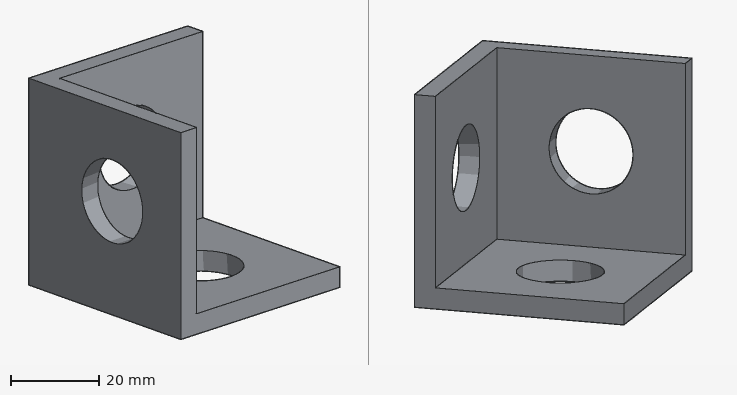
import cadquery as cq

side = 50.0
wall = 5.0
hole_diameter = 20.0

hole_center = (side + wall) / 2

corner = cq.Workplane("XY").box(side, side, side, centered=False)
inside = cq.Workplane("XY").box(side, side, side, centered=False).translate((wall, wall, wall))
result = corner.cut(inside)


def hole_cutter(plane_name, depth):
    """Cylinder through the plate that lies in the named plane."""
    return (
        cq.Workplane(plane_name)
        .center(hole_center, hole_center)
        .circle(hole_diameter / 2)
        .extrude(depth)
    )


for plane_name, depth in (("XY", wall), ("YZ", wall), ("XZ", -wall)):
    result = result.cut(hole_cutter(plane_name, depth))